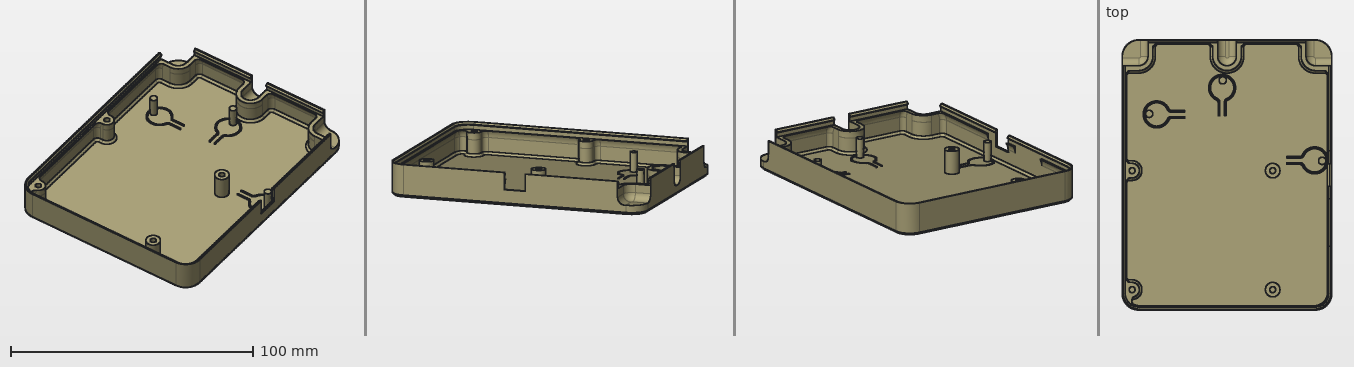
import cadquery as cq
import math

width = 86.6
length = 111.6
height = 13.8
corner_radius = 7.0
bottom_chamfer = 1.0
wall = 0.84
floor = 0.8
floor_chamfer = 1.06
ledge_z = 10.7

ledge_depth = 0.84
cove_height = 2.8
cove_steps = 3
bead_depth = 0.5
rim_thickness = 0.5

pocket_reach = 10.7
pocket_radius = 3.9
pocket_floor_z = 4.0
pocket_floor_fillet = 3.2
pocket_wall = 2.0
blend_radius = 2.0

boss_diameter = 6.0
boss_hole_diameter = 2.5
boss_left_x = -39.2
boss_spacing_x = 58.0
boss_spacing_y = 49.1
boss_right_x = boss_left_x + boss_spacing_x
boss_front_y = -47.3
boss_rows = (boss_front_y, boss_front_y + boss_spacing_y)

button_radius = 5.5
slot_width = 0.6
tongue_width = 2.0
tongue_reach = 11.5
neck_radius = 1.1
pin_diameter = 3.0
pin_offset = 3.1
pin_side_shift = 0.2
pin_height = 8.3
buttons = [(-29.0, 25.0, 0), (-2.0, 35.9, -90), (36.2, 6.0, 180)]

notch_half_width = 4.6
notch_z = 6.6
ledge_gaps = [(-4.0, 10.0), (-29.5, -9.8)]

half_width = width / 2
half_length = length / 2


def rounded_plate(inset, z_low, z_high):
    """Block with the tray outline moved inward by inset."""
    return (
        cq.Workplane("XY", origin=(0, 0, z_low))
        .rect(width - 2 * inset, length - 2 * inset)
        .extrude(z_high - z_low)
        .edges("|Z")
        .fillet(corner_radius - inset)
    )


def span_box(x_low, x_high, y_low, y_high, z_low, z_high):
    """Block between two opposite corners."""
    block = cq.Workplane("XY").box(x_high - x_low, y_high - y_low, z_high - z_low, centered=False)
    return block.translate((x_low, y_low, z_low))


def pocket_blocks(growth, z_low, z_high):
    """The three pocket shapes, widened by growth; they overrun the tray edges."""
    radius = pocket_radius + growth
    reach = pocket_reach + growth
    blocks = []
    for side in (-1, 1):
        corner = (
            cq.Workplane("XY", origin=(side * half_width, half_length, z_low))
            .rect(2 * reach, 2 * reach)
            .extrude(z_high - z_low)
            .edges("|Z")
            .fillet(radius)
        )
        blocks.append(corner)
    middle = (
        cq.Workplane("XY", origin=(0, half_length, z_low))
        .slot2D(2 * reach, 2 * radius, 90)
        .extrude(z_high - z_low)
    )
    blocks.append(middle)
    return blocks


def tray_blank():
    """Outer block with its bottom edge chamfered."""
    return rounded_plate(0, 0, height).faces("<Z").edges().chamfer(bottom_chamfer)


def round_corners(outline, radius):
    """Round the outward corners of a closed outline, or the inward ones if radius is negative."""
    return outline.offset2D(-radius)[0].offset2D(radius)[0]


def hollow_outline(inset, z):
    """Edge of the hollow at height z, running round the pocket walls and the wall bosses."""
    hollow = rounded_plate(inset, z, height)
    for block in pocket_blocks(pocket_wall, 0, height):
        hollow = hollow.cut(block)
    boss_radius = boss_diameter / 2
    for y in boss_rows:
        boss = cq.Workplane("XY").center(boss_left_x, y).circle(boss_radius).extrude(height)
        web = span_box(-half_width, boss_left_x, y - boss_radius, y + boss_radius, 0, height)
        hollow = hollow.cut(boss).cut(web)
    return round_corners(hollow.faces("<Z").val().outerWire(), blend_radius)


def cavity():
    """Hollow of the tray from the floor up to the coved ledge."""
    cove_z = ledge_z - cove_height
    lower = (
        cq.Workplane("XY", origin=(0, 0, floor))
        .add(hollow_outline(wall, floor))
        .toPending()
        .extrude(cove_z - floor)
        .faces("<Z")
        .chamfer(floor_chamfer)
    )

    cove_radius = (cove_height**2 + ledge_depth**2) / (2 * ledge_depth)
    cove_sections = []
    for step in range(cove_steps + 1):
        rise = cove_height * step / cove_steps
        depth = cove_radius - math.sqrt(cove_radius**2 - rise**2)
        cove_sections.append(hollow_outline(wall + depth, cove_z + rise))
    cove = cq.Workplane(obj=cq.Solid.makeLoft(cove_sections))

    hollow = lower.union(cove)
    wall_face_x = half_width - wall
    for y_low, y_high in ledge_gaps:
        gap = span_box(wall_face_x - ledge_depth, wall_face_x, y_low, y_high, cove_z, ledge_z)
        hollow = hollow.union(gap)
    return hollow


def rim_opening():
    """Opening above the ledge, pinched by a snap bead with 45 degree flanks."""
    bead_crest_z = height - (wall + bead_depth - rim_thickness)
    below_bead = rounded_plate(wall, ledge_z, bead_crest_z).faces(">Z").edges().chamfer(bead_depth)
    above_bead = (
        rounded_plate(rim_thickness, bead_crest_z, height + rim_thickness)
        .faces("<Z")
        .edges()
        .chamfer(height - bead_crest_z)
    )
    return below_bead.union(above_bead)


def pockets():
    """Pocket cuts with rounded floor edges, open to the top and the outside."""
    cuts = []
    for block in pocket_blocks(0, pocket_floor_z, height):
        cuts.append(block.faces("<Z").edges().fillet(pocket_floor_fillet))
    return cuts


def free_bosses():
    """The two bosses standing on the floor."""
    return (
        cq.Workplane("XY")
        .pushPoints([(boss_right_x, y) for y in boss_rows])
        .circle(boss_diameter / 2)
        .extrude(ledge_z)
    )


def boss_holes():
    """Blind screw holes in all four bosses, down to the floor."""
    return (
        cq.Workplane("XY", origin=(0, 0, floor))
        .pushPoints([(x, y) for x in (boss_left_x, boss_right_x) for y in boss_rows])
        .circle(boss_hole_diameter / 2)
        .extrude(height)
    )


def keyhole(radius, arm_width, neck):
    """Round head at the origin with an arm along +X, through the floor thickness."""
    head = cq.Workplane("XY").circle(radius).extrude(floor)
    arm = span_box(0, tongue_reach, -arm_width / 2, arm_width / 2, 0, floor)
    outline = head.union(arm).faces("<Z").val().outerWire()
    return cq.Workplane("XY").add(round_corners(outline, -neck)).toPending().extrude(floor)


def button_slot():
    """Slot that frees a button and its tongue from the floor."""
    outside = keyhole(button_radius, tongue_width + 2 * slot_width, neck_radius)
    return outside.cut(keyhole(button_radius - slot_width, tongue_width, neck_radius + slot_width))


def button_pin():
    """Pin on the side of the button away from the tongue."""
    return (
        cq.Workplane("XY", origin=(-pin_offset, pin_side_shift, 0))
        .circle(pin_diameter / 2)
        .extrude(floor + pin_height)
    )


def place(shape, button):
    """Move a shape made at the origin onto a button."""
    x, y, angle = button
    return shape.rotate((0, 0, 0), (0, 0, 1), angle).translate((x, y, 0))


result = tray_blank().cut(cavity()).cut(rim_opening())
for pocket in pockets():
    result = result.cut(pocket)
notch = span_box(0, half_width, -notch_half_width, notch_half_width, notch_z, height)
result = result.cut(notch)
result = result.union(free_bosses()).cut(boss_holes())
for button in buttons:
    result = result.cut(place(button_slot(), button)).union(place(button_pin(), button))